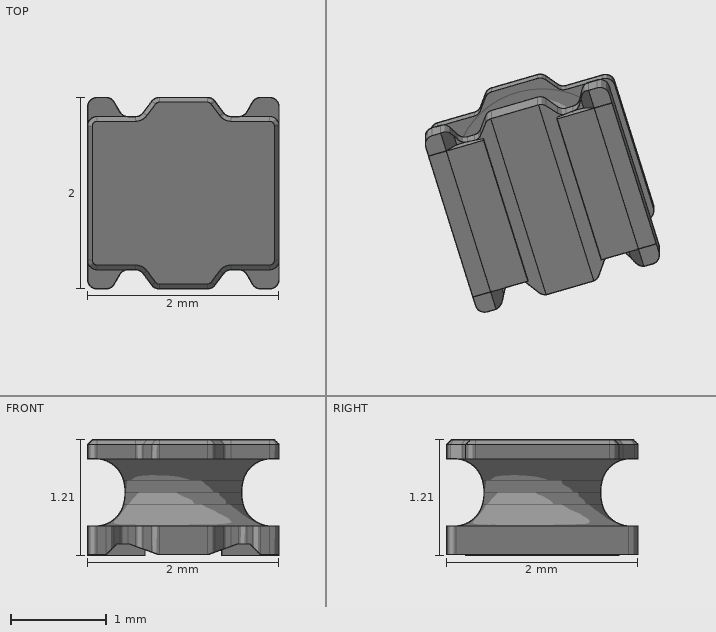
import cadquery as cq
import math

length = 2.0
core_height = 1.2
pad_thickness = 0.01
base_thickness = 0.3
cap_thickness = 0.2
corner_radius = 0.1
cap_chamfer = 0.05

body_width = 1.6
tab_tip_width = 0.6
tab_root_width = 0.9
foot_width = 0.25
foot_angle = 60.0

throat_radius = 0.61
throat_arc_radius = 0.5
flare_arc_radius = 0.3

groove_depth = 0.115
groove_inner_x = 0.26
groove_roof_inner_x = 0.57
groove_roof_outer_x = 0.692
groove_outer_x = groove_roof_outer_x + groove_depth
terminal_width = 0.6

half_length = length / 2
half_body = body_width / 2
core_bottom = pad_thickness
core_top = core_bottom + core_height
base_top = core_bottom + base_thickness
cap_bottom = core_top - cap_thickness
mid_height = (base_top + cap_bottom) / 2
groove_roof = core_bottom + groove_depth
terminal_inner_x = half_length - terminal_width


def four_way(quarter):
    """Mirror a quarter outline, listed from the Y axis to the X axis, into a closed loop."""
    right_half = quarter + [(x, -y) for x, y in reversed(quarter)]
    return right_half + [(-x, -y) for x, y in right_half]


def flange(quarter, bottom, thickness):
    """Plate with a doubly symmetric outline and rounded upright edges."""
    plate = cq.Workplane("XY").workplane(offset=bottom).polyline(four_way(quarter)).close().extrude(thickness)
    return plate.edges("|Z").fillet(corner_radius)


def tab_quarter():
    return [(tab_tip_width / 2, half_length), (tab_root_width / 2, half_body)]


def make_cap():
    quarter = tab_quarter() + [(half_length, half_body)]
    return flange(quarter, cap_bottom, cap_thickness).faces(">Z").chamfer(cap_chamfer)


def make_base():
    foot_tip_x = half_length - foot_width
    foot_root_x = foot_tip_x - (half_length - half_body) / math.tan(math.radians(foot_angle))
    feet = [(foot_root_x, half_body), (foot_tip_x, half_length), (half_length, half_length)]
    return flange(tab_quarter() + feet, core_bottom, base_thickness)


def make_spindle():
    """Revolved spindle whose profile is a throat arc blended tangentially into two flare arcs."""
    center_drop = mid_height - base_top - flare_arc_radius
    tilt = math.asin(center_drop / (throat_arc_radius - flare_arc_radius))
    throat_center_r = throat_radius + throat_arc_radius
    flare_center_r = throat_center_r - (throat_arc_radius - flare_arc_radius) * math.cos(tilt)

    def on_throat(angle):
        return (throat_center_r - throat_arc_radius * math.cos(angle),
                mid_height - throat_arc_radius * math.sin(angle))

    def on_flare(angle):
        return (flare_center_r - flare_arc_radius * math.cos(angle),
                mid_height - center_drop - flare_arc_radius * math.sin(angle))

    quarter_turn = math.pi / 2
    lower_half = (
        cq.Workplane("XZ")
        .moveTo(0, mid_height)
        .lineTo(throat_radius, mid_height)
        .threePointArc(on_throat(tilt / 2), on_throat(tilt))
        .threePointArc(on_flare((tilt + quarter_turn) / 2), on_flare(quarter_turn))
        .lineTo(0, base_top)
        .close()
        .revolve(360, (0, 0, 0), (0, 1, 0))
    )
    upper_half = lower_half.mirror("XY", (0, 0, mid_height))
    return lower_half.union(upper_half, clean=False)


def make_groove(side, width):
    """Trapezoidal bar filling a terminal groove over the given Y width; side is +1 or -1."""
    section = [
        (side * groove_inner_x, core_bottom),
        (side * groove_roof_inner_x, groove_roof),
        (side * groove_roof_outer_x, groove_roof),
        (side * groove_outer_x, core_bottom),
    ]
    return cq.Workplane("XZ").polyline(section).close().extrude(width / 2, both=True)


def make_core():
    core = make_base().union(make_spindle(), clean=False).union(make_cap(), clean=False)
    for side in (-1, 1):
        core = core.cut(make_groove(side, length), clean=False)
    return core


def make_terminal(side):
    """Thin pad under the core with a rib that fills the outer part of the groove."""
    center_x = side * (terminal_inner_x + half_length) / 2

    def block(height):
        return cq.Workplane("XY").center(center_x, 0).rect(terminal_width, body_width).extrude(height)

    rib = make_groove(side, body_width).intersect(block(groove_roof))
    return block(pad_thickness).union(rib)


core = make_core().solids()
terminals = [make_terminal(side).solids() for side in (-1, 1)]

result = cq.Compound.makeCompound([core.val(), *[terminal.val() for terminal in terminals]])